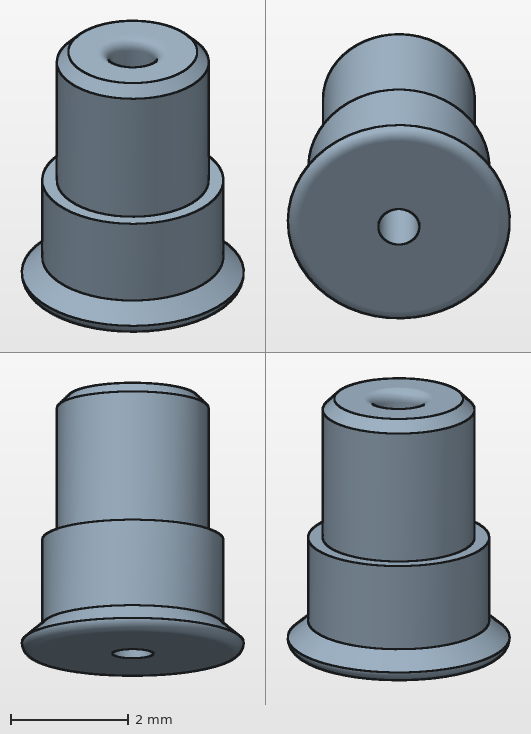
import cadquery as cq

height = 4.5
flange_radius = 3.8 / 2

collar_radius = 3.1 / 2
collar_top = 2.0
flare_top = 0.5
stem_radius = 2.6 / 2
edge_size = 0.2

stem_bore_radius = 0.8 / 2
collar_bore_radius = 0.7 / 2
bore_step_height = collar_top

half_section = (
    cq.Workplane("XZ")
    .moveTo(collar_bore_radius, 0)
    .lineTo(flange_radius - edge_size, 0)
    .radiusArc((flange_radius, edge_size), -edge_size)
    .lineTo(collar_radius, flare_top)
    .lineTo(collar_radius, collar_top)
    .lineTo(stem_radius, collar_top)
    .lineTo(stem_radius, height - edge_size)
    .lineTo(stem_radius - edge_size, height)
    .lineTo(stem_bore_radius + edge_size, height)
    .radiusArc((stem_bore_radius, height - edge_size), -edge_size)
    .lineTo(stem_bore_radius, bore_step_height)
    .lineTo(collar_bore_radius, bore_step_height)
    .close()
)

result = half_section.revolve(360, (0, 0, 0), (0, 1, 0))